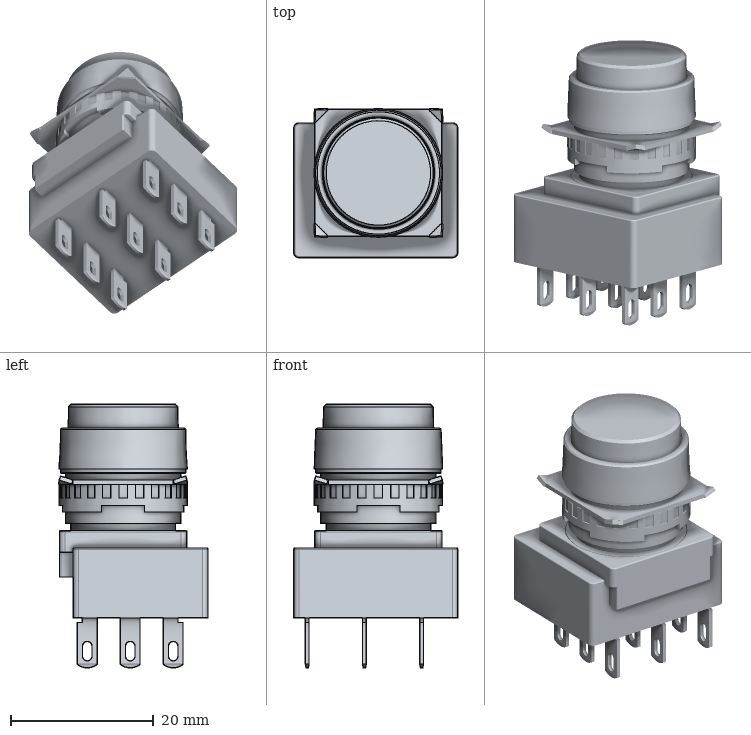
import cadquery as cq
import math

base_bottom_z = 7.0
base_top_z = 16.8
block_bottom_z = 16.13
block_top_z = 19.22
barrel_bottom_z = 20.22
nut_bottom_z = 21.8
skirt_top_z = 22.7
washer_bottom_z = 25.7
washer_thickness = 0.63
washer_top_z = washer_bottom_z + washer_thickness
bezel_bottom_z = 27.25
bezel_step_z = 27.85
bezel_top_z = 33.58
button_top_z = 36.9

plug_radius = 8.45
neck_radius = 7.35
barrel_radius = 8.08
bezel_step_radius = 8.8
bezel_widest_radius = 9.0
bezel_top_radius = 8.8
button_bottom_radius = 7.75
button_top_radius = 7.68
button_edge_chamfer = 0.37
button_gap = 0.1
button_gap_depth = 0.37
bezel_edge_chamfer = 0.22
bezel_foot_chamfer = 0.1

base_length_x = 23.0
base_length_y = 18.9
base_center_x = -0.37
base_front_y = -11.9
base_center_y = base_front_y + base_length_y / 2
base_corner_round = 0.77
base_top_round = 0.2
block_side = 17.85
block_corner_round = 0.8
block_edge_round = 0.2
recess_radius = 8.55
ledge_width = block_side - 2 * block_corner_round
ledge_depth = block_side / 2
ledge_bottom_z = 12.7
ledge_edge_round = 0.22

terminal_pitch_x = 8.0
terminal_pitch_y = 6.0
terminal_middle_x = -1.95
terminal_middle_y = -1.0
terminal_width = 2.8
terminal_thickness = 0.55
terminal_tip_thickness = 0.35
terminal_tip_height = 0.5
notch_depth = 0.7
notch_height = 0.63
eyelet_width = 1.3
eyelet_bottom_z = 1.0
eyelet_top_z = 3.7

washer_side = 17.7
tab_leg = 1.85
tab_bend_angle = 25.0

nut_radius = 9.0
skirt_gap_width = 6.0
skirt_gap_count = 4
grip_slot_count = 24
grip_slot_width = 1.18
grip_slot_depth = 0.2
grip_slot_bottom_z = 23.8


def box_between(x_range, y_range, z_range):
    """Box with the given limits along each axis."""
    size = [high - low for low, high in (x_range, y_range, z_range)]
    corner = (x_range[0], y_range[0], z_range[0])
    return cq.Workplane("XY").box(*size, centered=False).translate(corner)


def make_operator():
    """Button, bezel, barrel, neck and plug as one turned solid, with a groove around the button."""
    profile = [
        (0, block_bottom_z),
        (plug_radius, block_bottom_z),
        (plug_radius, block_top_z),
        (neck_radius, block_top_z),
        (neck_radius, barrel_bottom_z),
        (barrel_radius, barrel_bottom_z),
        (barrel_radius, bezel_bottom_z),
        (bezel_step_radius - bezel_foot_chamfer, bezel_bottom_z),
        (bezel_step_radius, bezel_bottom_z + bezel_foot_chamfer),
        (bezel_step_radius, bezel_step_z),
        (bezel_widest_radius, bezel_step_z),
        (bezel_top_radius, bezel_top_z - bezel_edge_chamfer),
        (bezel_top_radius - bezel_edge_chamfer, bezel_top_z),
        (button_bottom_radius + button_gap, bezel_top_z),
        (button_bottom_radius + button_gap, bezel_top_z - button_gap_depth),
        (button_bottom_radius, bezel_top_z - button_gap_depth),
        (button_bottom_radius, bezel_top_z),
        (button_top_radius, button_top_z - button_edge_chamfer),
        (button_top_radius - button_edge_chamfer, button_top_z),
        (0, button_top_z),
    ]
    return cq.Workplane("XZ").polyline(profile).close().revolve(360, (0, 0), (0, 1))


def make_terminal(notch_side):
    """Terminal centred on the axis; notch_side is +1 or -1 in Y, or 0 for no shoulder notch."""
    half_width = terminal_width / 2
    blade = (
        cq.Workplane("YZ")
        .moveTo(-half_width, base_bottom_z)
        .lineTo(-half_width, terminal_tip_height)
        .threePointArc((0, 0), (half_width, terminal_tip_height))
        .lineTo(half_width, base_bottom_z)
        .close()
        .extrude(terminal_thickness / 2, both=True)
    )
    taper = (
        cq.Workplane("XZ")
        .moveTo(-terminal_tip_thickness / 2, 0)
        .lineTo(terminal_tip_thickness / 2, 0)
        .lineTo(terminal_thickness / 2, terminal_tip_height)
        .lineTo(terminal_thickness / 2, base_bottom_z)
        .lineTo(-terminal_thickness / 2, base_bottom_z)
        .lineTo(-terminal_thickness / 2, terminal_tip_height)
        .close()
        .extrude(half_width, both=True)
    )
    eyelet = (
        cq.Workplane("YZ")
        .center(0, (eyelet_bottom_z + eyelet_top_z) / 2)
        .slot2D(eyelet_top_z - eyelet_bottom_z, eyelet_width, 90)
        .extrude(terminal_thickness, both=True)
    )
    terminal = blade.intersect(taper).cut(eyelet)
    if notch_side != 0:
        notch = cq.Workplane("XY").box(terminal_thickness, 2 * notch_depth, 2 * notch_height)
        terminal = terminal.cut(notch.translate((0, notch_side * half_width, base_bottom_z)))
    return terminal


def make_contact_block():
    """Base, upper block, rear ledge and terminals, with a recess for the operator's plug."""
    base = (
        cq.Workplane("XY", origin=(base_center_x, base_center_y, base_bottom_z))
        .rect(base_length_x, base_length_y)
        .extrude(base_top_z - base_bottom_z)
        .edges("|Z").fillet(base_corner_round)
        .faces(">Z").edges().fillet(base_top_round)
    )
    block = (
        cq.Workplane("XY", origin=(0, 0, block_bottom_z))
        .rect(block_side, block_side)
        .extrude(block_top_z - block_bottom_z)
        .edges("|Z").fillet(block_corner_round)
        .faces("<Z or >Z").edges().fillet(block_edge_round)
    )
    ledge = box_between(
        (-ledge_width / 2, ledge_width / 2),
        (0, ledge_depth),
        (ledge_bottom_z, (block_bottom_z + block_top_z) / 2),
    )
    ledge = ledge.edges("|Z and >Y").fillet(ledge_edge_round)
    contact_block = base.union(block).union(ledge)
    for column in (-1, 0, 1):
        for row in (-1, 0, 1):
            place = (
                terminal_middle_x + column * terminal_pitch_x,
                terminal_middle_y + row * terminal_pitch_y,
                0,
            )
            contact_block = contact_block.union(make_terminal(row).translate(place))
    recess = cq.Workplane("XY", origin=(0, 0, block_bottom_z)).circle(recess_radius)
    return contact_block.cut(recess.extrude(block_top_z - block_bottom_z))


def make_washer():
    """Square lock washer with its four corners bent up."""
    fold_distance = (washer_side - tab_leg) / math.sqrt(2)
    tab_height = tab_leg / math.sqrt(2)
    plate = (
        cq.Workplane("XY", origin=(0, 0, washer_bottom_z))
        .rect(washer_side, washer_side)
        .extrude(washer_thickness)
        .edges("|Z").chamfer(tab_leg)
    )
    tab = (
        cq.Workplane("XY", origin=(fold_distance, 0, washer_bottom_z))
        .polyline([(0, -tab_height), (tab_height, 0), (0, tab_height)])
        .close()
        .extrude(washer_thickness)
        .rotate((fold_distance, 0, washer_top_z), (fold_distance, -1, washer_top_z), tab_bend_angle)
    )
    bend_angle = math.radians(tab_bend_angle)
    bend_foot = (
        fold_distance + washer_thickness * math.sin(bend_angle),
        washer_top_z - washer_thickness * math.cos(bend_angle),
    )
    bend = (
        cq.Workplane("XZ")
        .polyline([(fold_distance, washer_top_z), (fold_distance, washer_bottom_z), bend_foot])
        .close()
        .extrude(tab_height, both=True)
    )
    corner = tab.union(bend)
    washer = plate
    for corner_angle in (45, 135, 225, 315):
        washer = washer.union(corner.rotate((0, 0, 0), (0, 0, 1), corner_angle))
    bore = cq.Workplane("XY", origin=(0, 0, washer_bottom_z)).circle(barrel_radius).extrude(washer_thickness)
    return washer.cut(bore)


def make_nut():
    """Ring nut with grip slots around its top and four gaps in its lower skirt."""
    nut = (
        cq.Workplane("XY", origin=(0, 0, nut_bottom_z))
        .circle(nut_radius)
        .circle(barrel_radius)
        .extrude(washer_bottom_z - nut_bottom_z)
    )
    skirt_gap = box_between(
        (0, nut_radius),
        (-skirt_gap_width / 2, skirt_gap_width / 2),
        (nut_bottom_z, skirt_top_z),
    )
    for index in range(skirt_gap_count):
        nut = nut.cut(skirt_gap.rotate((0, 0, 0), (0, 0, 1), index * 360 / skirt_gap_count))
    grip_slot = box_between(
        (nut_radius - grip_slot_depth, nut_radius + grip_slot_depth),
        (-grip_slot_width / 2, grip_slot_width / 2),
        (grip_slot_bottom_z, washer_bottom_z),
    )
    for index in range(grip_slot_count):
        nut = nut.cut(grip_slot.rotate((0, 0, 0), (0, 0, 1), index * 360 / grip_slot_count))
    return nut


operator = make_operator()
contact_block = make_contact_block()
washer = make_washer()
nut = make_nut()

bodies = [operator, contact_block, washer, nut]
result = cq.Compound.makeCompound([body.solids().val() for body in bodies])